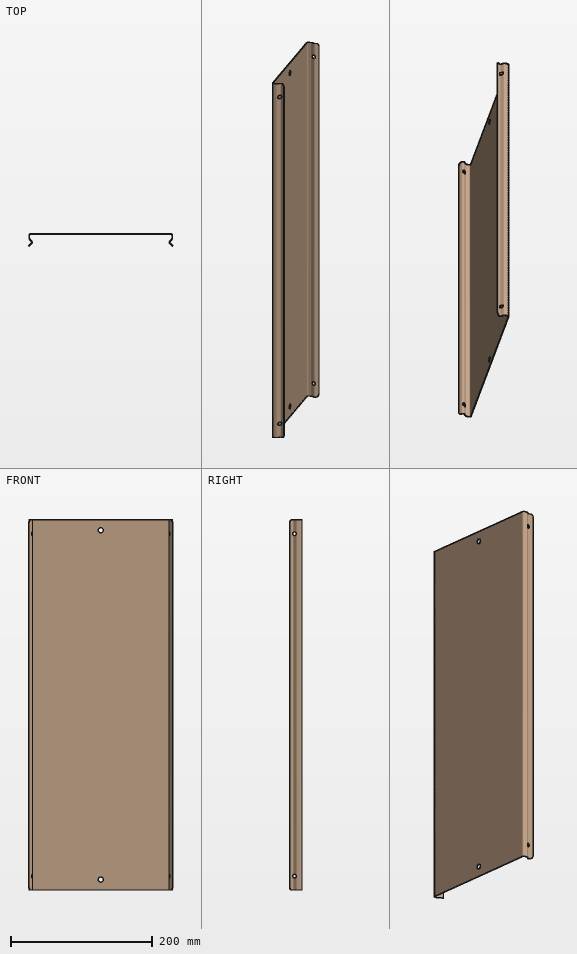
import cadquery as cq
import math

overall_width = 204.61
overall_depth = 18.11
length = 525.0

thickness = 1.2
inner_bend_radius = 1.5
outer_bend_radius = inner_bend_radius + thickness

flange_inset = 0.35
flange_depth = 7.5
slope_angle = math.radians(45)

lip_tip_x = overall_width / 2
lip_tip_y = -(overall_depth - thickness * math.sin(slope_angle))
flange_x = lip_tip_x - flange_inset
crest_y = (lip_tip_y - flange_depth - flange_inset / math.tan(slope_angle)) / 2
crest_x = lip_tip_x - (crest_y - lip_tip_y) * math.tan(slope_angle)

lip_corner_radius = 5.0

panel_hole_diameter = 7.0
panel_hole_end_distance = 15.0
panel_cut_depth = 3 * thickness
crest_hole_diameter = 5.0
crest_hole_end_distance = 20.0
crest_hole_y = -10.8


def mitre_offset(path, distance):
    """Shift an open path sideways (to the right of travel) with mitred corners."""
    normals = []
    for (x0, y0), (x1, y1) in zip(path, path[1:]):
        run = math.hypot(x1 - x0, y1 - y0)
        normals.append(((y1 - y0) / run, (x0 - x1) / run))
    shifted = []
    for i, (x, y) in enumerate(path):
        ax, ay = normals[max(i - 1, 0)]
        bx, by = normals[min(i, len(normals) - 1)]
        reach = distance / (1 + ax * bx + ay * by)
        shifted.append((x + reach * (ax + bx), y + reach * (ay + by)))
    return shifted


def make_sheet():
    """Bent sheet of constant section: panel, side flanges, snap crests and lips."""
    right_side = [
        (flange_x, 0),
        (flange_x, -flange_depth),
        (crest_x, crest_y),
        (lip_tip_x, lip_tip_y),
    ]
    left_side = [(-x, y) for x, y in reversed(right_side)]
    outer_face = left_side + right_side
    inner_face = mitre_offset(outer_face, thickness)
    sheet = (
        cq.Workplane("XY")
        .polyline(outer_face + inner_face[::-1])
        .close()
        .extrude(length)
    )

    convex = []
    concave = []
    for i in range(1, len(outer_face) - 1):
        (x0, y0), (x1, y1), (x2, y2) = outer_face[i - 1:i + 2]
        turn = (x1 - x0) * (y2 - y1) - (y1 - y0) * (x2 - x1)
        turns_inward = turn < 0
        convex.append(outer_face[i] if turns_inward else inner_face[i])
        concave.append(inner_face[i] if turns_inward else outer_face[i])
    for corners, radius in ((convex, outer_bend_radius), (concave, inner_bend_radius)):
        edges = [
            sheet.edges(cq.selectors.NearestToPointSelector((x, y, length / 2))).val()
            for x, y in corners
        ]
        sheet = sheet.newObject(edges).fillet(radius)
    return sheet


def round_lip_corners(sheet):
    """Round the four free corners of the lips."""
    mid_thickness = thickness / 2
    tip_x = lip_tip_x - mid_thickness * math.cos(slope_angle)
    tip_y = lip_tip_y - mid_thickness * math.sin(slope_angle)
    corners = [
        sheet.edges(cq.selectors.NearestToPointSelector((side * tip_x, tip_y, end_z))).val()
        for side in (-1, 1)
        for end_z in (0, length)
    ]
    return sheet.newObject(corners).fillet(lip_corner_radius)


def panel_holes():
    """Cutters through the panel, one near each end on the centre line."""
    heights = (panel_hole_end_distance, length - panel_hole_end_distance)
    return (
        cq.Workplane("XZ", origin=(0, thickness, 0))
        .pushPoints([(0, z) for z in heights])
        .circle(panel_hole_diameter / 2)
        .extrude(panel_cut_depth)
    )


def crest_holes():
    """Cutters across the V of both sides, one near each end."""
    heights = (crest_hole_end_distance, length - crest_hole_end_distance)
    return (
        cq.Workplane("YZ")
        .pushPoints([(crest_hole_y, z) for z in heights])
        .circle(crest_hole_diameter / 2)
        .extrude(lip_tip_x, both=True)
    )


result = round_lip_corners(make_sheet()).cut(panel_holes()).cut(crest_holes())